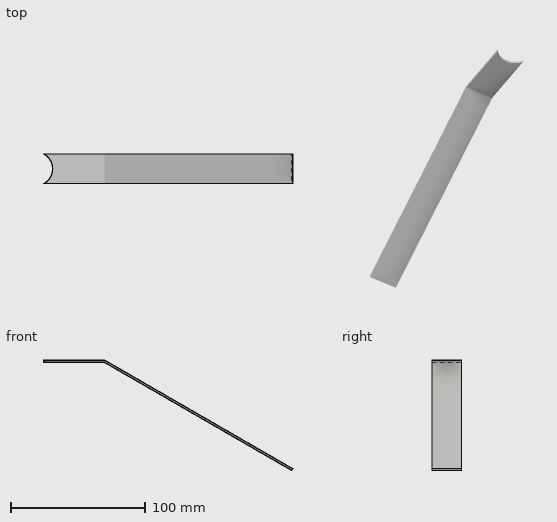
import cadquery as cq
import math

strip_width = 22.225
thickness = 1.5875
bend_angle = math.radians(30)
bend_inner_radius = 1.5875
saddle_radius = 12.7
short_leg = 45.49
long_leg = 161.925

bend_outer_radius = bend_inner_radius + thickness
bend_setback = bend_outer_radius * math.tan(bend_angle / 2)
bend_start_x = short_leg - bend_setback
sloped_length = long_leg - bend_setback


def bend_point(radius, angle):
    """Point on an arc about the bend axis, with the angle measured from vertical."""
    x = bend_start_x + radius * math.sin(angle)
    z = radius * math.cos(angle) - bend_outer_radius
    return x, z


def down_slope(point):
    """Point moved along the long leg, from the bend to the square end."""
    x, z = point
    return x + sloped_length * math.cos(bend_angle), z - sloped_length * math.sin(bend_angle)


def bent_strip():
    """Constant-thickness strip with one bend, centred on Y, top of the short leg at Z = 0."""
    outer_end = bend_point(bend_outer_radius, bend_angle)
    inner_end = bend_point(bend_inner_radius, bend_angle)
    return (
        cq.Workplane("XZ")
        .moveTo(0, 0)
        .lineTo(*bend_point(bend_outer_radius, 0))
        .threePointArc(bend_point(bend_outer_radius, bend_angle / 2), outer_end)
        .lineTo(*down_slope(outer_end))
        .lineTo(*down_slope(inner_end))
        .lineTo(*inner_end)
        .threePointArc(bend_point(bend_inner_radius, bend_angle / 2), bend_point(bend_inner_radius, 0))
        .lineTo(0, -thickness)
        .close()
        .extrude(strip_width / 2, both=True)
    )


def saddle_cutter():
    """Upright cylinder whose surface meets the corners of the short leg's free end."""
    center_x = -math.sqrt(saddle_radius**2 - (strip_width / 2) ** 2)
    return cq.Workplane("XY").center(center_x, 0).circle(saddle_radius).extrude(thickness, both=True)


result = bent_strip().cut(saddle_cutter())